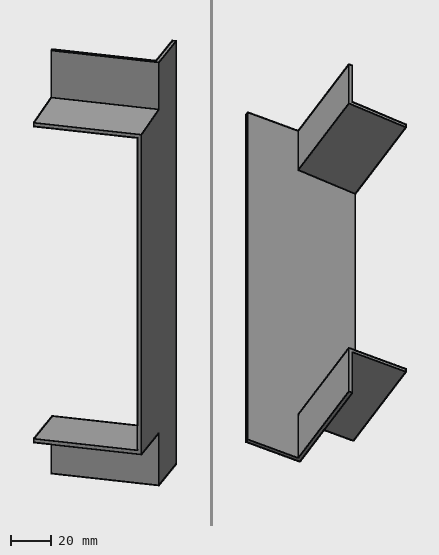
import cadquery as cq

width = 55.5
depth = 60.0
height = 225.0
sheet = 2.0

flange_setback = 30.0
lower_shelf_underside = 28.0
upper_shelf_front_top = 198.0
upper_shelf_rise = 2.0

flange_inner = flange_setback + sheet
upper_shelf_back_top = upper_shelf_front_top + upper_shelf_rise


def extrude_side_profile(points, x_start, length):
    """Extrude a (Y, Z) outline along +X from x_start."""
    return cq.Workplane("YZ", origin=(x_start, 0, 0)).polyline(points).close().extrude(length)


web = extrude_side_profile(
    [
        (flange_setback, 0),
        (depth, 0),
        (depth, height),
        (flange_setback, height),
        (flange_setback, upper_shelf_back_top),
        (0, upper_shelf_front_top),
        (0, lower_shelf_underside),
        (flange_setback, lower_shelf_underside),
    ],
    width - sheet,
    sheet,
)

lower_bracket = extrude_side_profile(
    [
        (flange_setback, 0),
        (flange_inner, 0),
        (flange_inner, lower_shelf_underside + sheet),
        (0, lower_shelf_underside + sheet),
        (0, lower_shelf_underside),
        (flange_setback, lower_shelf_underside),
    ],
    0,
    width,
)

upper_bracket = extrude_side_profile(
    [
        (0, upper_shelf_front_top),
        (flange_setback, upper_shelf_back_top),
        (flange_setback, height),
        (flange_inner, height),
        (flange_inner, upper_shelf_back_top - sheet),
        (0, upper_shelf_front_top - sheet),
    ],
    0,
    width,
)

result = web.union(lower_bracket).union(upper_bracket)